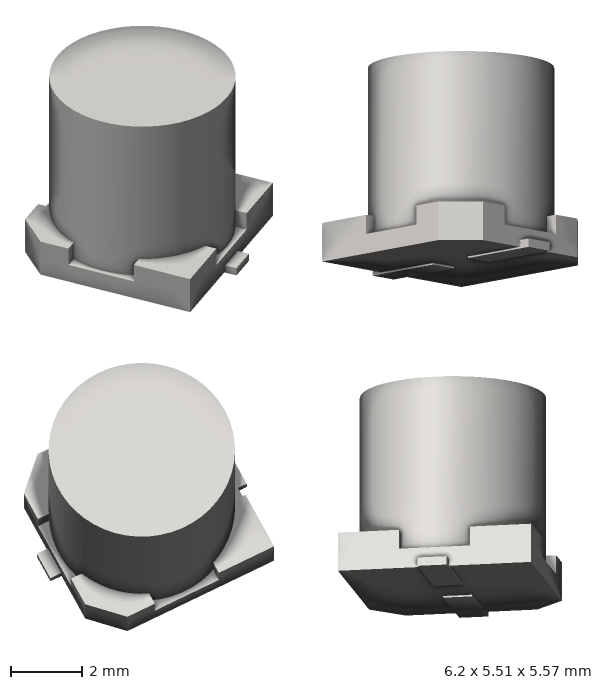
import cadquery as cq

overall_length = 6.2
overall_height = 5.57

base_width = 5.51
base_height = 1.105
corner_chamfer = 0.88
notch_width = 2.02
notch_depth = 0.545
notch_floor = base_height - notch_depth

can_diameter = 5.23

lead_length = 2.405
lead_width = 0.83
lead_thickness = 0.24
lead_standoff = 0.05
can_top = overall_height - lead_standoff


def make_can():
    return (
        cq.Workplane("XY", origin=(0, 0, notch_floor))
        .circle(can_diameter / 2)
        .extrude(can_top - notch_floor)
    )


def make_lead(side):
    """Lead reaching the outer end at -X (side = -1) or +X (side = 1)."""
    center_x = side * (overall_length - lead_length) / 2
    return (
        cq.Workplane("XY", origin=(center_x, 0, -lead_standoff))
        .rect(lead_length, lead_width)
        .extrude(lead_thickness)
    )


def make_base(can, leads):
    """Base with side notches and matching seats for the can and leads."""
    base = (
        cq.Workplane("XY")
        .rect(base_width, base_width)
        .extrude(base_height)
        .edges("|Z and <X")
        .chamfer(corner_chamfer)
    )
    notch_plane = cq.Workplane("XY", origin=(0, 0, notch_floor))
    base = base.cut(notch_plane.rect(base_width, notch_width).extrude(notch_depth))
    base = base.cut(notch_plane.rect(notch_width, base_width).extrude(notch_depth))
    base = base.cut(can)
    for lead in leads:
        base = base.cut(lead)
    return base.solids()


can = make_can()
leads = [make_lead(side) for side in (-1, 1)]
base = make_base(can, leads)

result = cq.Compound.makeCompound([base.val(), can.val(), *[lead.val() for lead in leads]])